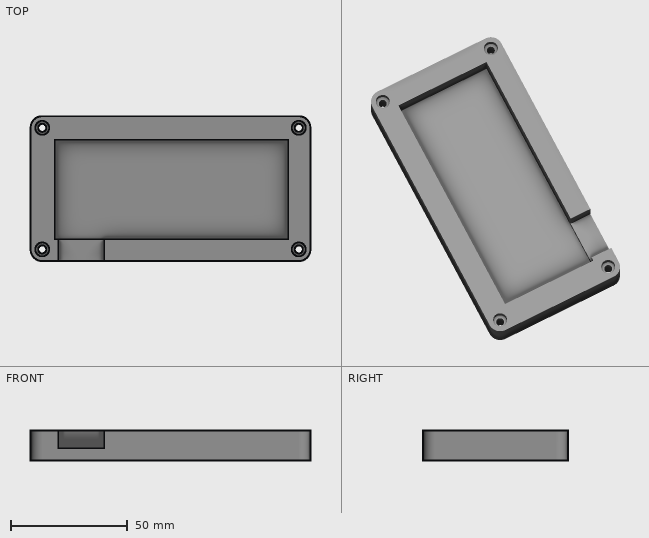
import cadquery as cq

length = 120.0
width = 62.2
height = 13.0
corner_radius = 5.0

pocket_length = 100.0
pocket_width = 42.5
pocket_depth = 10.0
pocket_left_wall = 10.5
pocket_front_wall = 9.5

notch_left_offset = 12.0
notch_length = 19.5
notch_depth = 7.5

hole_diameter = 3.4
counterbore_diameter = 6.0
counterbore_depth = 3.0


def box_cut_from_top(left, front, size_x, size_y, depth):
    """Block reaching down from the top face, placed from the left front corner."""
    return cq.Workplane("XY").box(size_x, size_y, depth, centered=False).translate(
        (left, front, height - depth)
    )


body = cq.Workplane("XY").box(length, width, height, centered=False)
body = body.edges("|Z").fillet(corner_radius)

pocket = box_cut_from_top(
    pocket_left_wall, pocket_front_wall, pocket_length, pocket_width, pocket_depth
)
notch = box_cut_from_top(notch_left_offset, 0, notch_length, pocket_front_wall, notch_depth)

hole_centers = [
    (x, y)
    for x in (corner_radius, length - corner_radius)
    for y in (corner_radius, width - corner_radius)
]

result = (
    body.cut(pocket)
    .cut(notch)
    .faces(">Z")
    .workplane(origin=(0, 0, height))
    .pushPoints(hole_centers)
    .cboreHole(hole_diameter, counterbore_diameter, counterbore_depth)
)